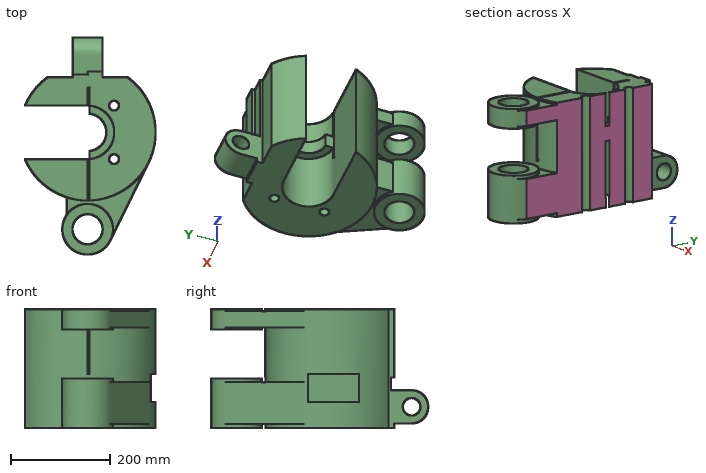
import cadquery as cq
import math

height = 240.0
body_radius = 137.5
bore_radius = 54.0
rear_flat_y = 111.5

ledge_radius = 37.5
ledge_bottom = 138.5
ledge_top = 171.5

slit_width = 3.5
slit_bottom = 108.5
slit_rear_y = 90.3

hole_radius = 9.5
hole_x = 53.5
relief_x = 127.5
relief_bottom = 53.0

hub_radius = 51.3
hub_bore_radius = 30.2
hub_y = -195.5
web_side_x = -42.0
lower_hub = (0, 100.5)
upper_hub = (198.5, height)
lower_web = (8.0, 93.0)
upper_web = (203.0, 236.0)

pad_half_width = 30.2
low_pad_y = 116.5
high_pad_y = 123.0
high_pad_gap_top = 101.5
lug_radius = 33.7
lug_hole_radius = 17.5
lug_y = 157.8
lug_z = 43.0


def box(x_range, y_range, z_range):
    """Axis-aligned block between pairs of limits."""
    x0, x1 = x_range
    y0, y1 = y_range
    z0, z1 = z_range
    return cq.Workplane("XY").box(x1 - x0, y1 - y0, z1 - z0, centered=False).translate((x0, y0, z0))


def cylinder(radius, z_range, x=0, y=0):
    """Upright cylinder between two heights."""
    bottom, top = z_range
    return cq.Workplane("XY", origin=(x, y, bottom)).circle(radius).extrude(top - bottom)


def make_body():
    full = (0, height)
    body = cylinder(body_radius, full)
    body = body.cut(box((-body_radius, body_radius), (rear_flat_y, body_radius), full))
    body = body.cut(cylinder(bore_radius, full))
    body = body.cut(box((-body_radius, 0), (-bore_radius, bore_radius), full))

    body = body.cut(box((0, slit_width), (-body_radius, slit_rear_y), (slit_bottom, height)))

    for y in (-bore_radius, bore_radius):
        body = body.cut(cylinder(hole_radius, full, hole_x, y))

    relief = box((relief_x, body_radius), (-body_radius, body_radius), (relief_bottom, slit_bottom))
    return body.cut(relief)


def make_ledge():
    """Half ring that narrows the bore, flush with the far side of the slit."""
    ledge_range = (ledge_bottom, ledge_top)
    ring = cylinder(bore_radius, ledge_range).cut(cylinder(ledge_radius, ledge_range))
    return ring.intersect(box((slit_width, bore_radius), (-bore_radius, bore_radius), ledge_range))


def make_knuckle(hub_range, web_range):
    """Hub joined to the body by a web that is tangent to both on the +X side."""
    tangent_sin = (body_radius - hub_radius) / hub_y
    tangent_cos = math.sqrt(1 - tangent_sin**2)
    web_bottom, web_top = web_range
    web = (
        cq.Workplane("XY", origin=(0, 0, web_bottom))
        .moveTo(web_side_x, hub_y)
        .lineTo(0, hub_y)
        .lineTo(hub_radius * tangent_cos, hub_y + hub_radius * tangent_sin)
        .lineTo(body_radius * tangent_cos, body_radius * tangent_sin)
        .lineTo(0, 0)
        .lineTo(web_side_x, 0)
        .close()
        .extrude(web_top - web_bottom)
        .cut(cylinder(body_radius, web_range))
    )
    hub = cylinder(hub_radius, hub_range, y=hub_y)
    return hub.union(web).cut(cylinder(hub_bore_radius, hub_range, y=hub_y))


def make_rear_pad():
    """Low pad with a full-width foot under the lug and a raised half above the gap."""
    low = box((-pad_half_width, pad_half_width), (rear_flat_y, low_pad_y), (0, height))
    foot = box((-pad_half_width, pad_half_width), (low_pad_y, high_pad_y), (0, lug_z - lug_radius))
    raised = box((0, pad_half_width), (low_pad_y, high_pad_y), (high_pad_gap_top, height))
    return low.union(foot).union(raised)


def make_lug():
    """Lug with a rounded end, pierced along X."""
    width = 2 * pad_half_width
    side = cq.Workplane("YZ", origin=(-pad_half_width, 0, 0))
    lug = (
        side.moveTo(rear_flat_y, lug_z - lug_radius)
        .lineTo(lug_y, lug_z - lug_radius)
        .threePointArc((lug_y + lug_radius, lug_z), (lug_y, lug_z + lug_radius))
        .lineTo(rear_flat_y, lug_z + lug_radius)
        .close()
        .extrude(width)
    )
    return lug.cut(side.center(lug_y, lug_z).circle(lug_hole_radius).extrude(width))


result = (
    make_body()
    .union(make_ledge())
    .union(make_knuckle(lower_hub, lower_web))
    .union(make_knuckle(upper_hub, upper_web))
    .union(make_rear_pad())
    .union(make_lug())
)